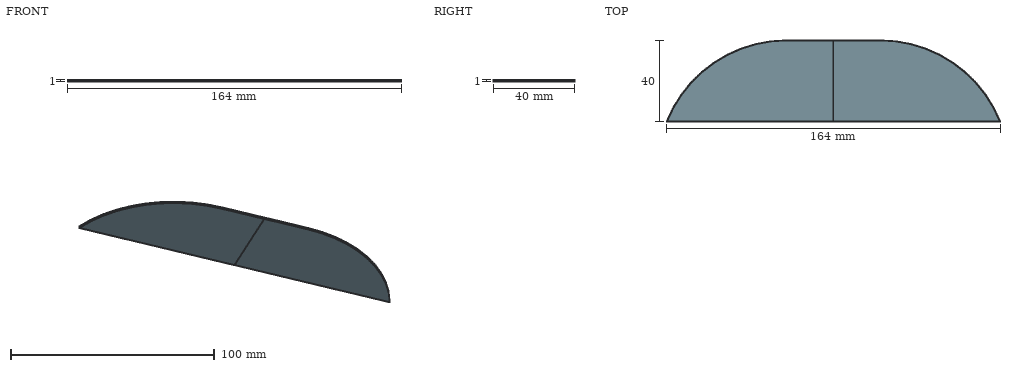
import cadquery as cq
import math

length = 164.0
depth = 40.0
thickness = 1.0

half_length = length / 2
straight_length = 23.0

arc_run = half_length - straight_length
arc_radius = (arc_run**2 + depth**2) / (2 * depth)
arc_center_y = depth - arc_radius

end_angle = math.atan2(-arc_center_y, arc_run)
middle_angle = (math.pi / 2 + end_angle) / 2
arc_middle_x = straight_length + arc_radius * math.cos(middle_angle)
arc_middle_y = arc_center_y + arc_radius * math.sin(middle_angle)


def make_half_plate(side):
    """Flat half plate on one side of the seam at X = 0; side is -1 (left) or +1 (right)."""
    return (
        cq.Workplane("XY")
        .lineTo(0, depth)
        .lineTo(side * straight_length, depth)
        .threePointArc((side * arc_middle_x, arc_middle_y), (side * half_length, 0))
        .close()
        .extrude(thickness)
    )


half_plates = [make_half_plate(side) for side in (-1, 1)]

result = cq.Compound.makeCompound([half_plate.val() for half_plate in half_plates])